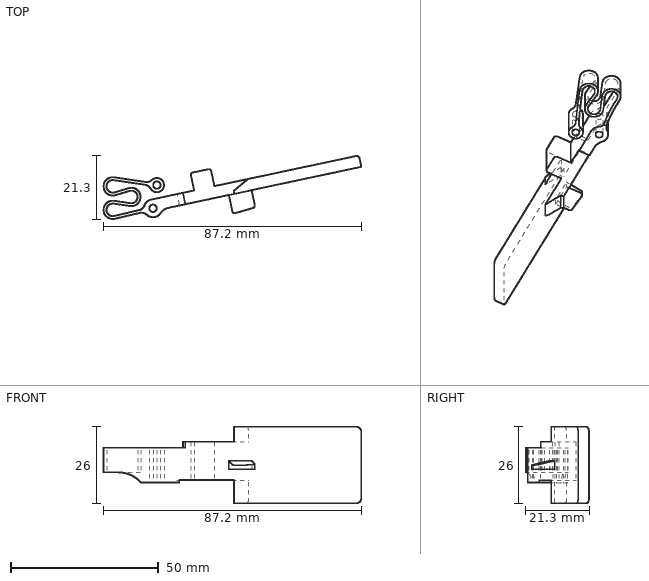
import cadquery as cq
import math

ARM_TILT = 12.0

PLATE_HEIGHT = 26.0
ARM_BOTTOM = 7.8
ARM_TOP = 20.9
HINGE_BOTTOM = 7.1
HINGE_TOP = 18.8
LOOP_BOTTOM = 10.45

PIVOT = (0.0, 0.0)
PIVOT_RADIUS = 3.05
EYELET = (1.3, 7.8)
EYELET_RADIUS = 2.4
PIN_HOLE_RADIUS = 1.2
SPRING_NECK_FILLET = 2.6
ARM_NECK_FILLET = 4.35

WALL = 1.05
BEND_RADIUS = 2.6
LOWER_BEND = (-13.6, -0.5)
MIDDLE_BEND = (-7.3, 3.8)
UPPER_BEND = (-13.6, 7.4)

RELIEF_START_X = -11.7
RELIEF_RADIUS = 10.2

ARM_BACK = PIVOT_RADIUS
ARM_FRONT = -1.0
HINGE_TOP_END = 11.0
HINGE_BOTTOM_END = 8.9
PLATE_START = 27.9
PLATE_END = 71.8
PLATE_LIP_BACK = 0.1
PLATE_RAMP_END = 33.5
PLATE_CORNER_RADIUS = 1.9
PLATE_BACK_FILLET = 1.05

FIN_START = 14.8
FIN_END = 21.9
FIN_BACK = 9.1
FIN_FILLET = 0.9

TAB_START = 26.0
TAB_END = 33.9
TAB_TIP_START = -7.5
TAB_TIP_END = -6.9
TAB_BOTTOM = 11.5
TAB_TIP_TOP = 12.9
TAB_ROOT_TOP = 14.5
TAB_FILLET = 0.9


def prism(outline, bottom, top):
    """Extrude a closed plan outline between two heights."""
    return outline.extrude(top - bottom).translate((0, 0, bottom))


def block(x_range, y_range, z_range):
    size = [end - start for start, end in (x_range, y_range, z_range)]
    corner = (x_range[0], y_range[0], z_range[0])
    return cq.Workplane("XY").box(*size, centered=False).translate(corner)


def cylinder(center, radius, bottom, top):
    return prism(cq.Workplane("XY").center(*center).circle(radius), bottom, top)


def swing(body):
    return body.rotate((0, 0, 0), (0, 0, 1), ARM_TILT)


def tangent_points(start, start_radius, end, end_radius):
    """Ends of the line tangent to two circles; a positive radius puts the center on its left."""
    dx = end[0] - start[0]
    dy = end[1] - start[1]
    lean = math.asin((start_radius - end_radius) / math.hypot(dx, dy))
    heading = math.atan2(dy, dx) + lean
    right = (math.sin(heading), -math.cos(heading))
    first = (start[0] + start_radius * right[0], start[1] + start_radius * right[1])
    last = (end[0] + end_radius * right[0], end[1] + end_radius * right[1])
    return first, last


def make_spring():
    stops = [
        (PIVOT, 0.0),
        (LOWER_BEND, -BEND_RADIUS),
        (MIDDLE_BEND, BEND_RADIUS),
        (UPPER_BEND, -BEND_RADIUS),
        (EYELET, 0.0),
    ]
    outer_points = {
        LOWER_BEND: (LOWER_BEND[0] - BEND_RADIUS, LOWER_BEND[1]),
        MIDDLE_BEND: (MIDDLE_BEND[0] + BEND_RADIUS, MIDDLE_BEND[1]),
        UPPER_BEND: (UPPER_BEND[0] - BEND_RADIUS, UPPER_BEND[1]),
    }
    path = cq.Workplane("XY").moveTo(*PIVOT)
    for (start, start_radius), (end, end_radius) in zip(stops, stops[1:]):
        line_start, line_end = tangent_points(start, start_radius, end, end_radius)
        if start in outer_points:
            path = path.threePointArc(outer_points[start], line_start)
        path = path.lineTo(*line_end)
    return prism(path.wire().offset2D(WALL / 2), HINGE_BOTTOM, HINGE_TOP)


def make_hinge():
    pivot_boss = cylinder(PIVOT, PIVOT_RADIUS, HINGE_BOTTOM, HINGE_TOP)
    eyelet_boss = cylinder(EYELET, EYELET_RADIUS, HINGE_BOTTOM, HINGE_TOP)
    link = swing(block((0, HINGE_BOTTOM_END), (ARM_FRONT, ARM_BACK), (HINGE_BOTTOM, HINGE_TOP)))
    hinge = make_spring().union(pivot_boss).union(eyelet_boss).union(link)

    eyelet_necks = cq.selectors.BoxSelector(
        (EYELET[0] - EYELET_RADIUS - 0.9, EYELET[1] - EYELET_RADIUS, HINGE_BOTTOM),
        (EYELET[0], EYELET[1] + EYELET_RADIUS, HINGE_TOP),
    )
    pivot_necks = cq.selectors.BoxSelector(
        (-PIVOT_RADIUS - 0.9, -PIVOT_RADIUS, HINGE_BOTTOM),
        (0, PIVOT_RADIUS - 0.9, HINGE_TOP),
    )
    arm_neck = cq.selectors.BoxSelector(
        (0, -PIVOT_RADIUS, HINGE_BOTTOM),
        (PIVOT_RADIUS + 0.9, 0, HINGE_TOP),
    )
    hinge = hinge.edges("|Z").edges(eyelet_necks + pivot_necks).fillet(SPRING_NECK_FILLET)
    hinge = hinge.edges("|Z").edges(arm_neck).fillet(ARM_NECK_FILLET)

    for center in (PIVOT, EYELET):
        hinge = hinge.cut(cylinder(center, PIN_HOLE_RADIUS, HINGE_BOTTOM, HINGE_TOP))
    return hinge.cut(make_relief()).cut(make_middle_relief())


def make_relief():
    """Tunnel along Y: flat below the bends, then an arc falling to the hinge underside."""
    drop = LOOP_BOTTOM - HINGE_BOTTOM
    center_z = LOOP_BOTTOM - RELIEF_RADIUS
    end_x = RELIEF_START_X + math.sqrt(RELIEF_RADIUS**2 - (RELIEF_RADIUS - drop) ** 2)
    middle = math.asin((end_x - RELIEF_START_X) / RELIEF_RADIUS) / 2
    arc_middle = (
        RELIEF_START_X + RELIEF_RADIUS * math.sin(middle),
        center_z + RELIEF_RADIUS * math.cos(middle),
    )
    clear_x = LOWER_BEND[0] - 2 * BEND_RADIUS
    tunnel_half_width = UPPER_BEND[1] + 2 * BEND_RADIUS
    return (
        cq.Workplane("XZ")
        .moveTo(clear_x, HINGE_BOTTOM)
        .lineTo(clear_x, LOOP_BOTTOM)
        .lineTo(RELIEF_START_X, LOOP_BOTTOM)
        .threePointArc(arc_middle, (end_x, HINGE_BOTTOM))
        .close()
        .extrude(tunnel_half_width, both=True)
    )


def make_middle_relief():
    """Level the underside of the middle bend and its strands with the outer bends."""
    reach = BEND_RADIUS + WALL
    return block(
        (UPPER_BEND[0], MIDDLE_BEND[0] + BEND_RADIUS + WALL / 2),
        (MIDDLE_BEND[1] - reach, MIDDLE_BEND[1] + reach),
        (HINGE_BOTTOM, LOOP_BOTTOM),
    )


def make_arm():
    arm_y = (ARM_FRONT, ARM_BACK)
    lower = block((HINGE_BOTTOM_END, PLATE_RAMP_END), arm_y, (ARM_BOTTOM, HINGE_TOP))
    upper = block((HINGE_TOP_END, PLATE_RAMP_END), arm_y, (HINGE_TOP, ARM_TOP))
    fin = block((FIN_START, FIN_END), (ARM_FRONT, FIN_BACK), (ARM_BOTTOM, ARM_TOP))
    fin = fin.edges("|Z and >Y").fillet(FIN_FILLET)
    return lower.union(upper).union(fin)


def make_plate():
    outline = cq.Workplane("XY").polyline(
        [
            (PLATE_START, ARM_FRONT),
            (PLATE_END, ARM_FRONT),
            (PLATE_END, ARM_BACK),
            (PLATE_RAMP_END, ARM_BACK),
            (PLATE_START, PLATE_LIP_BACK),
        ]
    ).close()
    plate = prism(outline, 0, PLATE_HEIGHT)
    plate = plate.edges("|Y and >X").fillet(PLATE_CORNER_RADIUS)
    ramp_edge = cq.selectors.BoxSelector(
        (PLATE_RAMP_END - 0.9, ARM_BACK - 0.9, 0),
        (PLATE_RAMP_END + 0.9, ARM_BACK + 0.9, PLATE_HEIGHT),
    )
    back_edges = cq.selectors.StringSyntaxSelector(">Y") - ramp_edge
    return plate.edges(back_edges).fillet(PLATE_BACK_FILLET)


def make_tab():
    outline = cq.Workplane("XY").polyline(
        [
            (TAB_START, ARM_FRONT),
            (TAB_START, TAB_TIP_START),
            (TAB_END, TAB_TIP_END),
            (TAB_END, ARM_FRONT),
        ]
    ).close()
    tab = prism(outline, TAB_BOTTOM, TAB_ROOT_TOP)
    tab = tab.edges("|Z").edges("not(>Y)").fillet(TAB_FILLET)
    wedge = (
        cq.Workplane("YZ")
        .polyline(
            [
                (ARM_FRONT, TAB_BOTTOM),
                (ARM_FRONT, TAB_ROOT_TOP),
                (TAB_TIP_START, TAB_TIP_TOP),
                (TAB_TIP_START, TAB_BOTTOM),
            ]
        )
        .close()
        .extrude(PLATE_END)
    )
    return tab.intersect(wedge)


straight_parts = make_arm().union(make_plate()).union(make_tab())
result = make_hinge().union(swing(straight_parts))